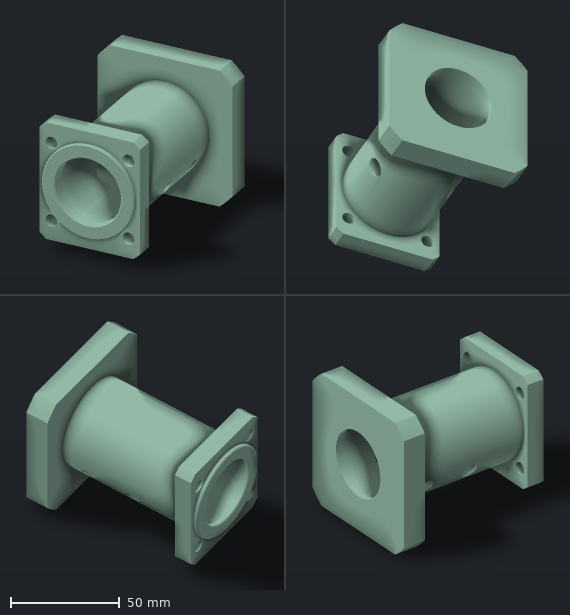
import cadquery as cq

overall_length = 89.0
bore_diameter = 34.0
tube_diameter = 46.0

rear_flange_side = 70.0
rear_flange_thickness = 12.0
rear_flange_corner_diameter = 90.0

front_flange_width = 52.0
front_flange_height = 60.0
front_flange_thickness = 9.0
front_flange_corner_diameter = 75.0

spigot_diameter = 48.0
spigot_length = 2.0
edge_chamfer = 0.5

bolt_hole_diameter = 6.2
bolt_spacing = 40.0

cross_hole_diameter = 8.0
cross_hole_z = -11.3
first_cross_hole_from_back = 24.0
cross_hole_spacing = 25.0
cross_hole_count = 2

front_flange_y = spigot_length
rear_flange_y = overall_length - rear_flange_thickness


def section_at(y):
    """Sketch plane across the tube axis at y, with its normal toward +Y and Z reversed."""
    return cq.Workplane("XZ", origin=(0, y, 0)).transformed(rotate=(180, 0, 0))


def cylinder(diameter, start_y, length):
    return section_at(start_y).circle(diameter / 2).extrude(length)


def flange(width, height, corner_diameter, start_y, thickness):
    """Rectangular plate whose corners are turned down to a circle about the tube axis."""
    plate = section_at(start_y).rect(width, height).extrude(thickness)
    return plate.intersect(cylinder(corner_diameter, start_y, thickness))


def body():
    rear = flange(rear_flange_side, rear_flange_side, rear_flange_corner_diameter,
                  rear_flange_y, rear_flange_thickness)
    front = flange(front_flange_width, front_flange_height, front_flange_corner_diameter,
                   front_flange_y, front_flange_thickness)
    tube = cylinder(tube_diameter, front_flange_y, overall_length - front_flange_y)
    spigot = cylinder(spigot_diameter, 0, spigot_length).faces("<Y").chamfer(edge_chamfer)
    return tube.union(rear).union(front).union(spigot)


def bore():
    """Through bore with a chamfered mouth at the spigot end."""
    mouth = cq.Solid.makeCone(
        bore_diameter / 2 + edge_chamfer, bore_diameter / 2, edge_chamfer,
        pnt=cq.Vector(0, 0, 0), dir=cq.Vector(0, 1, 0),
    )
    return cylinder(bore_diameter, 0, overall_length).union(cq.Workplane(obj=mouth))


def bolt_holes():
    """Four holes through the front flange on a square pattern."""
    return (
        section_at(front_flange_y)
        .rect(bolt_spacing, bolt_spacing, forConstruction=True)
        .vertices()
        .circle(bolt_hole_diameter / 2)
        .extrude(front_flange_thickness)
    )


def cross_holes():
    """Row of holes passing through both tube walls along X."""
    centres = [
        (overall_length - first_cross_hole_from_back - i * cross_hole_spacing, cross_hole_z)
        for i in range(cross_hole_count)
    ]
    return (
        cq.Workplane("YZ")
        .pushPoints(centres)
        .circle(cross_hole_diameter / 2)
        .extrude(tube_diameter / 2, both=True)
    )


result = body().cut(bore()).cut(bolt_holes()).cut(cross_holes())